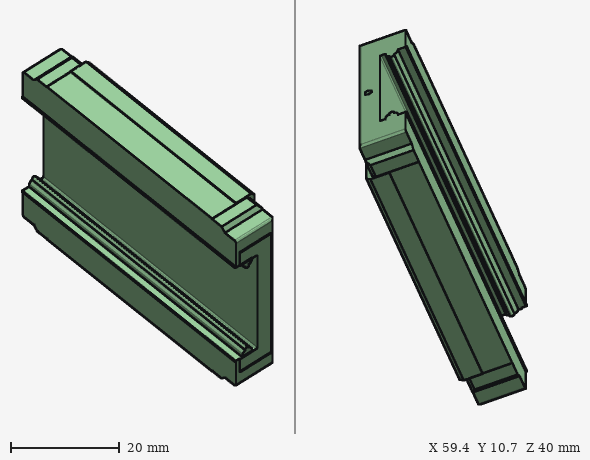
import cadquery as cq

TOTAL_LENGTH = 59.4
TOTAL_WIDTH = 40.0
TOTAL_DEPTH = 10.7
SEAL_THICKNESS = 0.2
LIP_HEIGHT = 0.25
LIP_THICKNESS = 0.15
OVERLAP = 0.3

BODY_LENGTH = TOTAL_LENGTH - SEAL_THICKNESS
BODY_DEPTH = 9.25
BODY_WIDTH = 39.5
CAP_LENGTH = 3.1
CAP_WIDTH = 37.65
CAP_FILLET = 0.5
BACK_CHAMFER = 0.7

BLOCK_LENGTH = 45.9
BLOCK_WIDTH = 39.7
BLOCK_BACK = TOTAL_DEPTH - LIP_HEIGHT
SHOULDER_DEPTH = 4.6
BLOCK_CHAMFER = 0.85

CHANNEL_WIDTH = 24.25
CHANNEL_FLOOR = 5.05
CHANNEL_FILLET = 0.3
RIB_Y = 2.75
BEAD_RADIUS = 1.25
BEAD_OFFSET = 0.1
NOSE_HEIGHT = 1.85
NOSE_WIDTH = 0.95

SEAL_WIDTH = 31.0
SEAL_BOTTOM = 0.85
SEAL_TOP = 8.55

HOLE_Y = 7.35
HOLE_DIAMETER = 1.35
HOLE_DEPTH = 1.8

BODY_X_MIN = -BODY_LENGTH / 2
BODY_X_MAX = BODY_LENGTH / 2
CHANNEL_HALF = CHANNEL_WIDTH / 2


def box(x_min, x_max, y_min, y_max, z_min, z_max):
    """Box between the given limits."""
    size = (x_max - x_min, y_max - y_min, z_max - z_min)
    return cq.Workplane("XY").box(*size, centered=False).translate((x_min, y_min, z_min))


def centred_box(length, y_min, y_max, width):
    """Box centred on X and Z."""
    return box(-length / 2, length / 2, y_min, y_max, -width / 2, width / 2)


def make_body():
    """Body with narrower end caps, 45-degree shoulders and rounded end edges."""
    caps = centred_box(BODY_LENGTH, 0, BODY_DEPTH, CAP_WIDTH)
    caps = caps.faces("<X or >X").edges("|Y or >Y").fillet(CAP_FILLET)

    shoulder = (BODY_WIDTH - CAP_WIDTH) / 2
    foot_x = BODY_X_MAX - CAP_LENGTH
    top_x = foot_x - shoulder
    foot_z = CAP_WIDTH / 2
    top_z = BODY_WIDTH / 2
    outline = [
        (-foot_x, foot_z), (-top_x, top_z), (top_x, top_z), (foot_x, foot_z),
        (foot_x, -foot_z), (top_x, -top_z), (-top_x, -top_z), (-foot_x, -foot_z),
    ]
    middle = cq.Workplane("XZ").polyline(outline).close().extrude(-BODY_DEPTH)

    chamfered = (
        centred_box(BODY_LENGTH, 0, BODY_DEPTH, BODY_WIDTH)
        .edges(">Y and |X")
        .chamfer(BACK_CHAMFER)
    )
    return caps.union(middle.intersect(chamfered))


def make_block():
    """Block with a slightly wider, chamfered band along its back."""
    band_front = BLOCK_BACK - SHOULDER_DEPTH
    band = centred_box(BLOCK_LENGTH, band_front, BLOCK_BACK, TOTAL_WIDTH)
    band = band.edges(">Y and |X").chamfer(BLOCK_CHAMFER)
    return band.union(centred_box(BLOCK_LENGTH, 0, band_front, BLOCK_WIDTH))


def make_channel():
    """Cutting tool for the rail channel, rounded along the floor corners."""
    channel = centred_box(TOTAL_LENGTH + 2 * OVERLAP, -OVERLAP, CHANNEL_FLOOR, CHANNEL_WIDTH)
    return channel.edges(">Y and |X").fillet(CHANNEL_FILLET)


def make_upper_rib():
    """Round bead with a narrow, round-tipped nose, along the +Z wall of the channel."""
    bead = (
        cq.Workplane("YZ", origin=(BODY_X_MIN, RIB_Y, CHANNEL_HALF - BEAD_OFFSET))
        .circle(BEAD_RADIUS)
        .extrude(BODY_LENGTH)
    )
    nose_radius = NOSE_WIDTH / 2
    nose = (
        cq.Workplane("YZ", origin=(BODY_X_MIN, RIB_Y, CHANNEL_HALF))
        .moveTo(-nose_radius, 0)
        .lineTo(-nose_radius, nose_radius - NOSE_HEIGHT)
        .threePointArc((0, -NOSE_HEIGHT), (nose_radius, nose_radius - NOSE_HEIGHT))
        .lineTo(nose_radius, 0)
        .close()
        .extrude(BODY_LENGTH)
    )
    return bead.union(nose)


def make_upper_lip():
    """Thin lip standing out of the leg face beside the +Z wall of the channel."""
    return box(
        BODY_X_MIN, BODY_X_MAX,
        -LIP_HEIGHT, OVERLAP,
        CHANNEL_HALF, CHANNEL_HALF + LIP_THICKNESS,
    )


def make_seal():
    """Thin raised plate on the +X end face."""
    half_width = SEAL_WIDTH / 2
    end_x = BODY_X_MAX + SEAL_THICKNESS
    return box(BODY_X_MAX - OVERLAP, end_x, SEAL_BOTTOM, SEAL_TOP, -half_width, half_width)


def make_hole():
    """Cutting tool for the lubrication hole in the -X end face."""
    start = cq.Workplane("YZ", origin=(BODY_X_MIN, HOLE_Y, 0))
    return start.circle(HOLE_DIAMETER / 2).extrude(HOLE_DEPTH)


result = make_body().union(make_block()).union(make_seal())
result = result.cut(make_channel()).cut(make_hole())

for feature in (make_upper_rib(), make_upper_lip()):
    result = result.union(feature).union(feature.mirror("XY"))